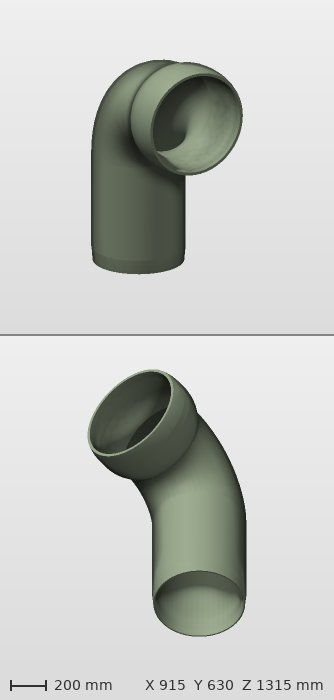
import cadquery as cq
import math

pipe_diameter = 530.0
bore_diameter = 500.0
socket_diameter = 630.0
total_height = 1315.0
total_length = 915.0
bend_radius = 363.0
spigot_taper_height = 82.0
spigot_tip_radius = 258.0
collar_length = 10.0
band_start_x = 784.0
band_end_x = 830.0
bulge_radius = 249.0

pipe_radius = pipe_diameter / 2
bore_radius = bore_diameter / 2
wall = pipe_radius - bore_radius
socket_radius = socket_diameter / 2
axis_x = pipe_radius
socket_axis_z = total_height - socket_radius
bend_start_z = socket_axis_z - bend_radius
bend_end_x = axis_x + bend_radius
bulge_start_x = bend_end_x + collar_length


def bent_rod(radius):
    """Solid rod that rises along Z and turns through a quarter circle to +X."""
    straight = cq.Workplane("XY").center(axis_x, 0).circle(radius).extrude(bend_start_z)
    bend = (
        cq.Workplane("XY", origin=(axis_x, 0, bend_start_z))
        .circle(radius)
        .revolve(90, (bend_radius, 0, 0), (bend_radius, 1, 0))
    )
    return straight.union(bend)


def spigot_cutter():
    """Ring that leaves a shallow cone at the lower end of the pipe."""
    block = cq.Workplane("XY").center(axis_x, 0).circle(socket_radius).extrude(spigot_taper_height)
    cone = cq.Solid.makeCone(
        spigot_tip_radius, pipe_radius, spigot_taper_height, pnt=cq.Vector(axis_x, 0, 0)
    )
    return block.cut(cq.Workplane(obj=cone))


def make_elbow():
    return bent_rod(pipe_radius).cut(spigot_cutter()).cut(bent_rod(bore_radius))


def bulge_point(x, center_x, inset):
    """Profile point at x on a bulge arc, moved inward by inset."""
    arc_radius = bulge_radius - inset
    arc_center = socket_radius - bulge_radius
    return x, arc_center + math.sqrt(arc_radius**2 - (x - center_x) ** 2)


def make_socket():
    """Bulged socket with a cylindrical band and constant wall thickness."""
    rear_middle_x = (bulge_start_x + band_start_x) / 2
    front_middle_x = (band_end_x + total_length) / 2
    inner_band_radius = socket_radius - wall

    profile = (
        cq.Workplane("XY")
        .moveTo(bend_end_x, bore_radius)
        .lineTo(bend_end_x, pipe_radius)
        .lineTo(*bulge_point(bulge_start_x, band_start_x, 0))
        .threePointArc(bulge_point(rear_middle_x, band_start_x, 0), (band_start_x, socket_radius))
        .lineTo(band_end_x, socket_radius)
        .threePointArc(
            bulge_point(front_middle_x, band_end_x, 0),
            bulge_point(total_length, band_end_x, 0),
        )
        .lineTo(*bulge_point(total_length, band_end_x, wall))
        .threePointArc(
            bulge_point(front_middle_x, band_end_x, wall), (band_end_x, inner_band_radius)
        )
        .lineTo(band_start_x, inner_band_radius)
        .threePointArc(
            bulge_point(rear_middle_x, band_start_x, wall),
            bulge_point(bulge_start_x, band_start_x, wall),
        )
        .close()
    )
    return profile.revolve(360, (0, 0, 0), (1, 0, 0)).translate((0, 0, socket_axis_z))


elbow = make_elbow()
socket = make_socket()
result = cq.Compound.makeCompound([elbow.val(), socket.val()])